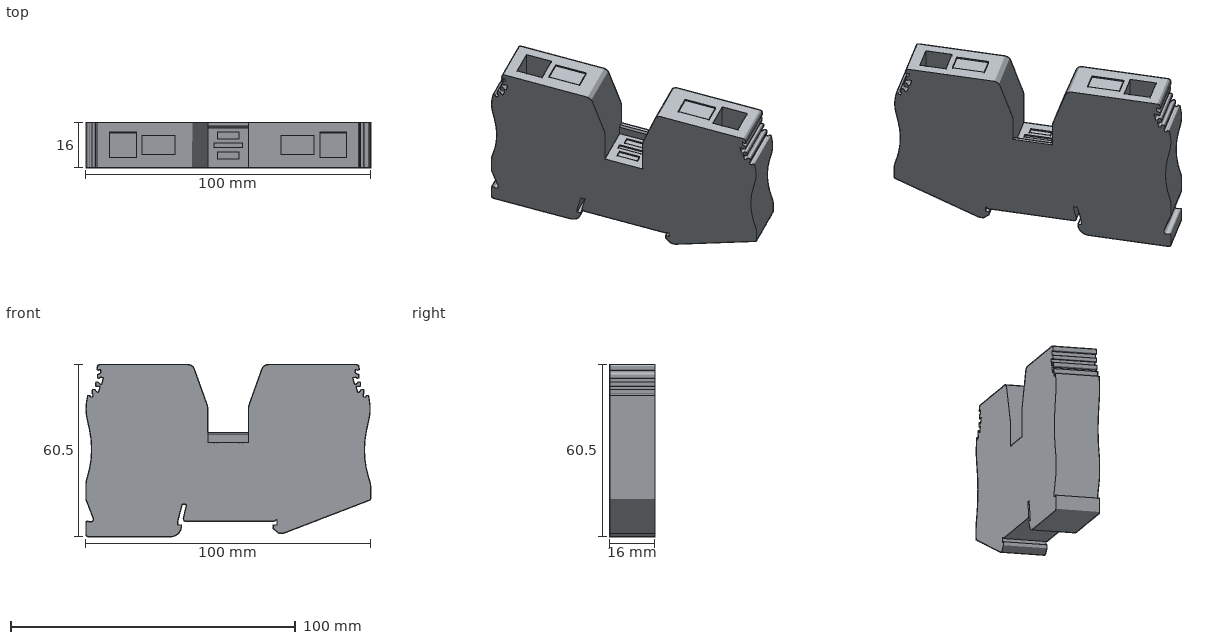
import cadquery as cq
import math

LENGTH = 100.0
THICKNESS = 16.0
HEIGHT = 60.5

HALF_WIDTH = 49.9
RIGHT_REACH = LENGTH - HALF_WIDTH

NOTCH_HALF_WIDTH = 7.1
NOTCH_FLOOR = 33.1
NOTCH_TAPER_BASE = 45.7
TOWER_TOP_INNER = 12.4
TOWER_CORNER_RADIUS = 2.4
NOTCH_BEND_RADIUS = 5.0

RIB_TOP = 36.7
RIB_BEVEL_BASE = 36.1
RIB_TOP_THICKNESS = 1.2
RIB_BASE_THICKNESS = 1.9

WAIST_INSET = 3.1
WAIST_HEIGHT = 29.1
WAIST_RADIUS = 33.0
BULGE_HEIGHT = 44.6
BULGE_OVERSHOOT = 0.3
BULGE_RADIUS = 16.0
LOWER_BEND_RADIUS = 6.0
LEFT_BEND_HEIGHT = 19.5
RIGHT_BEND_HEIGHT = 18.4

RAIL_FACE = 5.4
FOOT_HOOK = 4.2
RIGHT_FOOT_BASE = 1.2
FOOT_TOE_RADIUS = 4.0

ENTRY_CENTER_X = 36.9
ENTRY_LENGTH = 9.4
ENTRY_FRONT = 3.6
ENTRY_BACK = 12.6
ENTRY_DEPTH = 20.0
ENTRY_BACK_LEAN = 0.4
SCREW_CENTER_X = 24.4
SCREW_LENGTH = 11.5
SCREW_WIDTH = 6.7
SCREW_CENTER_Y = 8.1
RECESS_DEPTH = 0.5
MARKER_CENTER_Y = 7.9
MARKER_PITCH = 3.5
MARKER_LONG = (10.0, 1.6)
MARKER_SHORT = (7.6, 2.4)


def rounded_outline(corners):
    """Closed XZ outline from (x, z, radius) corners; radius 0 keeps the corner sharp."""
    segments = []
    for index, (x, z, radius) in enumerate(corners):
        corner = cq.Vector(x, z)
        if radius == 0:
            segments.append((corner,))
            continue
        before = corners[index - 1]
        after = corners[(index + 1) % len(corners)]
        to_before = (cq.Vector(before[0], before[1]) - corner).normalized()
        to_after = (cq.Vector(after[0], after[1]) - corner).normalized()
        half_angle = to_before.getAngle(to_after) / 2
        tangent = radius / math.tan(half_angle)
        bisector = (to_before + to_after).normalized()
        middle = corner + bisector * (radius / math.sin(half_angle) - radius)
        segments.append((corner + to_before * tangent, middle, corner + to_after * tangent))

    outline = cq.Workplane("XZ").moveTo(*segments[0][-1].toTuple()[:2])
    for segment in segments[1:] + segments[:1]:
        points = [point.toTuple()[:2] for point in segment]
        outline = outline.lineTo(*points[0])
        if len(points) > 1:
            outline = outline.threePointArc(points[1], points[2])
    return outline.close()


def tower_corners():
    """Left tower from the waist up over the grip teeth and down to the notch floor."""
    side = [
        (WAIST_INSET, WAIST_HEIGHT, WAIST_RADIUS),
        (-BULGE_OVERSHOOT, BULGE_HEIGHT, BULGE_RADIUS),
    ]
    lowest_tooth = [(0.6, 49.7, 0.4), (1.3, 49.7, 0.2), (1.6, 49.1, 0.2)]
    second_tooth = [
        (2.3, 49.1, 0.2), (2.5, 50.1, 0.1), (2.2, 50.3, 0.1),
        (2.2, 51.8, 0.5), (3.1, 51.8, 0.4), (3.9, 50.8, 0.3),
    ]
    third_tooth = [
        (4.4, 50.8, 0.3), (5.0, 52.9, 0.2), (4.3, 52.7, 0.1),
        (3.4, 52.9, 0.3), (3.4, 54.4, 0.5), (4.2, 54.4, 0.2), (5.0, 53.6, 0.1),
    ]
    fourth_tooth = [
        (5.5, 53.6, 0.1), (6.1, 55.8, 0.1), (5.2, 56.0, 0.1),
        (4.5, 55.6, 0.2), (4.0, 55.8, 0.2), (4.0, 57.0, 0.2), (4.5, 57.1, 0.1),
    ]
    top_tooth = [
        (5.2, 57.6, 0.3), (5.2, 58.7, 0.2), (4.8, 58.7, 0.1),
        (4.5, 58.4, 0.1), (3.8, 58.7, 0.1), (4.1, HEIGHT, 1.0),
    ]
    grip = lowest_tooth + second_tooth + third_tooth + fourth_tooth + top_tooth
    outer = [(inset - HALF_WIDTH, z, radius) for inset, z, radius in side + grip]
    inner = [
        (-TOWER_TOP_INNER, HEIGHT, TOWER_CORNER_RADIUS),
        (-NOTCH_HALF_WIDTH, NOTCH_TAPER_BASE, NOTCH_BEND_RADIUS),
        (-NOTCH_HALF_WIDTH, NOTCH_FLOOR, 0),
    ]
    return outer + inner


def right_foot_corners():
    """Right side below the waist, then the sloping underside and the fixed rail hook."""
    return [
        (RIGHT_REACH, RIGHT_BEND_HEIGHT, LOWER_BEND_RADIUS),
        (RIGHT_REACH, 13.0, 0.8),
        (19.4, RIGHT_FOOT_BASE, 2.0),
        (17.8, RIGHT_FOOT_BASE, 0.8),
        (15.8, 2.9, 0.4),
        (15.8, FOOT_HOOK, 0),
        (17.1, FOOT_HOOK, 0),
        (17.1, 6.0, 0.1),
        (16.0, RAIL_FACE, 0),
    ]


def left_foot_corners():
    """Flexing slot, left rail hook and the stepped lower left side."""
    return [
        (-16.0, RAIL_FACE, 1.0),
        (-14.6, 11.4, 0.3),
        (-16.1, 11.4, 0.3),
        (-17.6, 5.6, 0.4),
        (-17.6, FOOT_HOOK, 0),
        (-16.3, FOOT_HOOK, 0),
        (-16.3, 0.0, FOOT_TOE_RADIUS),
        (-HALF_WIDTH, 0.0, 0.9),
        (-HALF_WIDTH, 5.7, 0.5),
        (-48.6, 5.3, 0.3),
        (-46.9, 5.3, 0.9),
        (-HALF_WIDTH, 13.1, 0.8),
        (-HALF_WIDTH, LEFT_BEND_HEIGHT, LOWER_BEND_RADIUS),
    ]


def make_body():
    left_tower = tower_corners()
    right_tower = [(-x, z, radius) for x, z, radius in reversed(left_tower)]
    outline = rounded_outline(left_tower + right_tower + right_foot_corners() + left_foot_corners())
    return outline.extrude(-THICKNESS)


def make_rib():
    """Bevelled rib along the rear edge of the notch floor."""
    section = [
        (THICKNESS, NOTCH_FLOOR),
        (THICKNESS, RIB_TOP),
        (THICKNESS - RIB_TOP_THICKNESS, RIB_TOP),
        (THICKNESS - RIB_BASE_THICKNESS, RIB_BEVEL_BASE),
        (THICKNESS - RIB_BASE_THICKNESS, NOTCH_FLOOR),
    ]
    return cq.Workplane("YZ").polyline(section).close().extrude(NOTCH_HALF_WIDTH, both=True)


def make_wire_entry(center_x):
    """Deep square pocket whose rear wall leans forward toward the bottom."""
    floor = HEIGHT - ENTRY_DEPTH
    section = [
        (ENTRY_FRONT, HEIGHT),
        (ENTRY_BACK, HEIGHT),
        (ENTRY_BACK - ENTRY_BACK_LEAN, floor),
        (ENTRY_FRONT, floor),
    ]
    pocket = cq.Workplane("YZ").polyline(section).close().extrude(ENTRY_LENGTH / 2, both=True)
    return pocket.translate((center_x, 0, 0))


def make_recess(center_x, center_y, top, length, width):
    """Shallow rectangular recess sunk below a level face."""
    recess = cq.Workplane("XY", origin=(center_x, center_y, top))
    return recess.rect(length, width).extrude(-RECESS_DEPTH)


result = make_body().union(make_rib())

for side in (-1, 1):
    result = result.cut(make_wire_entry(side * ENTRY_CENTER_X))
    result = result.cut(
        make_recess(side * SCREW_CENTER_X, SCREW_CENTER_Y, HEIGHT, SCREW_LENGTH, SCREW_WIDTH)
    )

for row, (length, width) in ((-1, MARKER_SHORT), (0, MARKER_LONG), (1, MARKER_SHORT)):
    center_y = MARKER_CENTER_Y + row * MARKER_PITCH
    result = result.cut(make_recess(0, center_y, NOTCH_FLOOR, length, width))